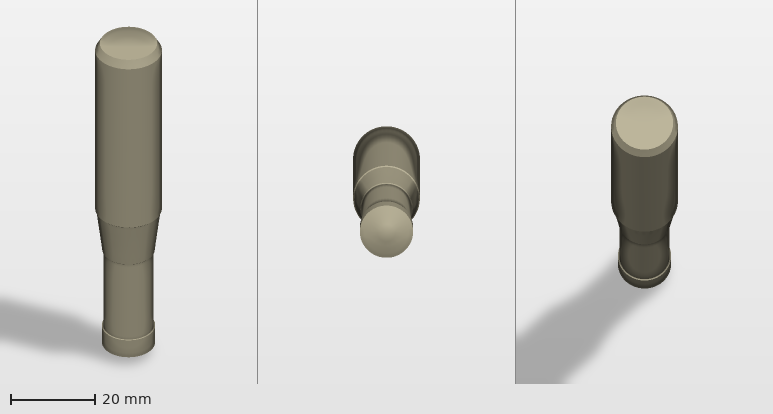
import cadquery as cq
import math

total_length = 89.3

tip_radius = 6.3
tip_top = 7.2
point_angle = 20.0
point_height = tip_radius * math.tan(math.radians(point_angle))

shank_radius = 7.95
neck_radius = 6.0
taper_bottom = 29.0
taper_top = 41.3
taper_bevel = 0.3
chamfer_height = 2.0
chamfer_angle = 30.0
chamfer_width = chamfer_height * math.tan(math.radians(chamfer_angle))


def revolve_profile(points):
    """Turn a closed (radius, height) outline about the Z axis."""
    return cq.Workplane("XZ").polyline(points).close().revolve(360, (0, 0), (0, 1))


def make_tip():
    return revolve_profile([
        (0, 0),
        (tip_radius, point_height),
        (tip_radius, tip_top),
        (0, tip_top),
    ])


def make_holder():
    return revolve_profile([
        (0, tip_top),
        (neck_radius, tip_top),
        (neck_radius, taper_bottom),
        (neck_radius + taper_bevel, taper_bottom + taper_bevel),
        (shank_radius - taper_bevel, taper_top - taper_bevel),
        (shank_radius, taper_top),
        (shank_radius, total_length - chamfer_height),
        (shank_radius - chamfer_width, total_length),
        (0, total_length),
    ])


tip = make_tip()
holder = make_holder()

result = cq.Compound.makeCompound([tip.val(), holder.val()])